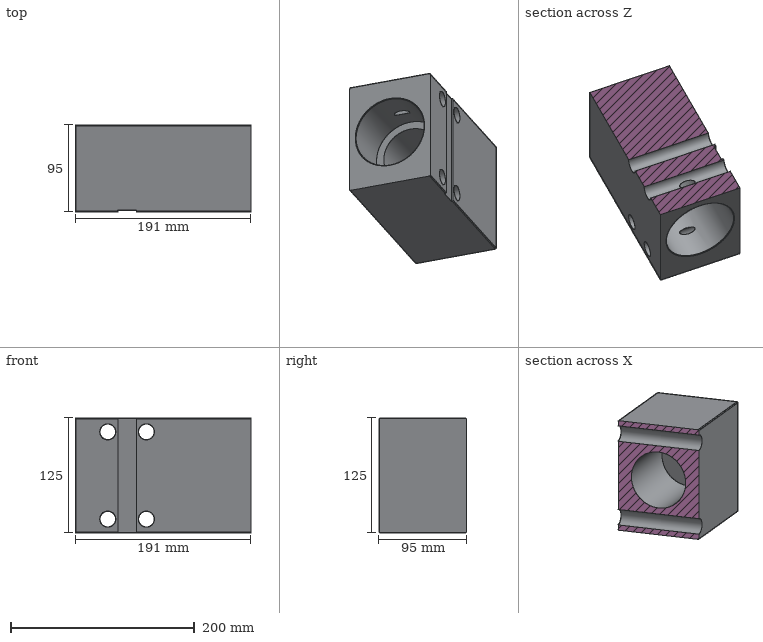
import cadquery as cq

length = 191.0
width = 95.0
height = 125.0
edge_chamfer = 1.0

entry_diameter = 80.0
entry_depth = 60.0
entry_chamfer = 0.7
bore_diameter = 63.0
end_wall_thickness = 25.0

keyway_start_x = 46.0
keyway_width = 20.0
keyway_depth = 2.0

hole_diameter = 17.0
hole_positions_x = (35.0, 77.0)
hole_spacing_z = 95.0


def make_block():
    """Rectangular block with its long edges chamfered."""
    block = cq.Workplane("YZ").rect(width, height).extrude(length)
    return block.edges("|X").chamfer(edge_chamfer)


def cylinder_along_x(diameter, depth):
    """Cylinder on the bore axis, starting at the -X face."""
    return cq.Workplane("YZ").circle(diameter / 2).extrude(depth)


def cut_bore(body):
    """Entry bore followed by a smaller blind bore, with a chamfered mouth."""
    body = body.cut(cylinder_along_x(bore_diameter, length - end_wall_thickness))
    body = body.cut(cylinder_along_x(entry_diameter, entry_depth))
    mouth_edge = body.faces("<X").edges("%CIRCLE")
    return mouth_edge.chamfer(entry_chamfer)


def cut_keyway(body):
    """Shallow keyway over the full height of the -Y face."""
    keyway_size = (keyway_width, keyway_depth, height)
    keyway = cq.Workplane("XY").box(*keyway_size, centered=(False, False, True))
    return body.cut(keyway.translate((keyway_start_x, -width / 2, 0)))


def cut_mounting_holes(body):
    """Through holes in two rows, above and below the bore."""
    points = [(x, side * hole_spacing_z / 2) for x in hole_positions_x for side in (-1, 1)]
    holes = cq.Workplane("XZ").pushPoints(points).circle(hole_diameter / 2).extrude(width / 2, both=True)
    return body.cut(holes)


result = cut_mounting_holes(cut_keyway(cut_bore(make_block())))